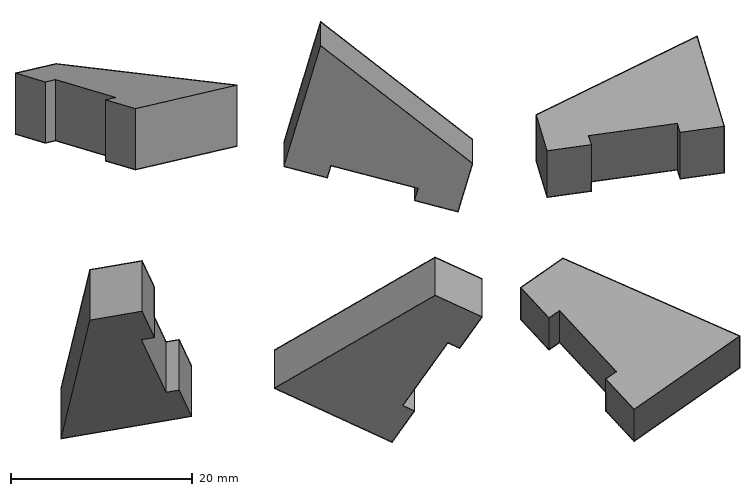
import cadquery as cq

length = 20.0
depth = 15.0
height = 7.0

short_side_depth = 6.0

foot_length = 5.0
notch_depth = 1.5

left_foot_end = foot_length
right_foot_start = length - foot_length

outline = [
    (0, 0),
    (left_foot_end, 0),
    (left_foot_end, notch_depth),
    (right_foot_start, notch_depth),
    (right_foot_start, 0),
    (length, 0),
    (length, depth),
    (0, short_side_depth),
]

result = cq.Workplane("XY").polyline(outline).close().extrude(height)